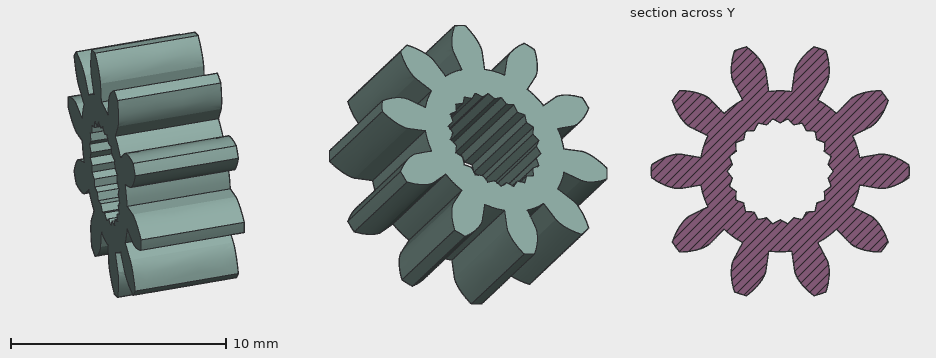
import cadquery as cq
import math

outer_diameter = 12.0
tooth_count = 10
pressure_angle = math.radians(20)
dedendum_factor = 1.25
module = outer_diameter / (tooth_count + 2)
face_width = 5.0

tip_radius = outer_diameter / 2
pitch_radius = module * tooth_count / 2
base_radius = pitch_radius * math.cos(pressure_angle)
root_radius = pitch_radius - dedendum_factor * module
tooth_pitch = 2 * math.pi / tooth_count

back_face = (0, face_width / 2, 0)

serration_count = 22
serration_outer_radius = 2.46
serration_inner_radius = 2.25

flank_samples = 9


def polar(radius, angle):
    return (radius * math.cos(angle), radius * math.sin(angle))


def involute(angle):
    return math.tan(angle) - angle


def tooth_half_angle(radius):
    """Half of the angle a tooth spans at a radius on or above the base circle."""
    half_angle_at_pitch = tooth_pitch / 4
    return half_angle_at_pitch + involute(pressure_angle) - involute(math.acos(base_radius / radius))


def flank_points(tooth_angle, side):
    """Involute flank from base circle to tip; side is -1 or +1 across the tooth centre."""
    radial_step = (tip_radius - base_radius) / (flank_samples - 1)
    points = []
    for i in range(flank_samples):
        radius = base_radius + i * radial_step
        points.append(polar(radius, tooth_angle + side * tooth_half_angle(radius)))
    return points


def gear_blank():
    """Solid gear; each flank is radial below the base circle and involute above it."""
    root_half_angle = tooth_half_angle(base_radius)
    outline = cq.Workplane("XZ", origin=back_face).moveTo(*polar(root_radius, -root_half_angle))
    for i in range(tooth_count):
        tooth_angle = i * tooth_pitch
        rising = flank_points(tooth_angle, -1)
        falling = flank_points(tooth_angle, 1)[::-1]
        gap_middle = polar(root_radius, tooth_angle + tooth_pitch / 2)
        next_root = polar(root_radius, tooth_angle + tooth_pitch - root_half_angle)
        outline = (
            outline.lineTo(*rising[0])
            .spline(rising[1:], includeCurrent=True)
            .threePointArc(polar(tip_radius, tooth_angle), falling[0])
            .spline(falling[1:], includeCurrent=True)
            .lineTo(*polar(root_radius, tooth_angle + root_half_angle))
            .threePointArc(gap_middle, next_root)
        )
    return outline.close().extrude(face_width)


def serrated_bore():
    """Star-shaped cutter that runs through the full face width."""
    half_step = math.pi / serration_count
    points = []
    for i in range(serration_count):
        groove_angle = 2 * i * half_step
        points.append(polar(serration_outer_radius, groove_angle))
        points.append(polar(serration_inner_radius, groove_angle + half_step))
    return cq.Workplane("XZ", origin=back_face).polyline(points).close().extrude(face_width)


result = gear_blank().cut(serrated_bore())